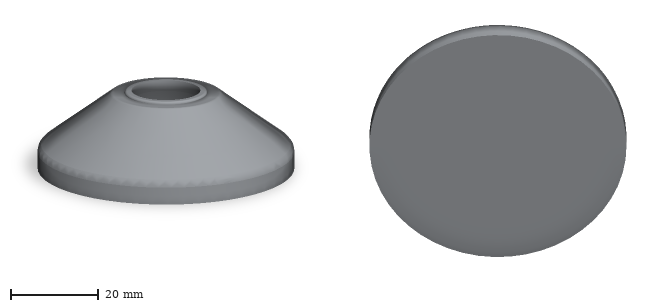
import cadquery as cq
import math

base_radius = 29.5
total_height = 18.6

flank_bottom_height = 5.1
flank_top_radius = 12.5
shoulder_round = 2.05
top_edge_round = 0.9

collar_radius = 9.5
collar_height = 0.6
plateau_height = total_height - collar_height

socket_radius = 7.9
bore_depth = 2.5


def make_body():
    """Disc with a conical flank, rounded at both ends of the cone."""
    profile = (
        cq.Workplane("XZ")
        .lineTo(base_radius, 0)
        .lineTo(base_radius, flank_bottom_height)
        .lineTo(flank_top_radius, plateau_height)
        .lineTo(0, plateau_height)
        .close()
    )
    body = profile.revolve(360, (0, 0, 0), (0, 1, 0))
    shoulder = cq.selectors.NearestToPointSelector((0, 0, flank_bottom_height))
    body = body.edges(shoulder).fillet(shoulder_round)
    return body.faces(">Z").edges().fillet(top_edge_round)


def make_collar():
    """Low disc on the plateau whose outer edge is a full-height quarter round."""
    flat_radius = collar_radius - collar_height
    arc_offset = collar_height * math.sqrt(0.5)
    profile = (
        cq.Workplane("XZ")
        .moveTo(0, plateau_height)
        .lineTo(collar_radius, plateau_height)
        .threePointArc(
            (flat_radius + arc_offset, plateau_height + arc_offset),
            (flat_radius, total_height),
        )
        .lineTo(0, total_height)
        .close()
    )
    return profile.revolve(360, (0, 0, 0), (0, 1, 0))


def make_socket():
    """Round-bottomed volume removed from the top."""
    ball_center_height = total_height - bore_depth
    bore = cq.Workplane("XY", origin=(0, 0, ball_center_height)).circle(socket_radius).extrude(bore_depth)
    ball = cq.Workplane("XY", origin=(0, 0, ball_center_height)).sphere(socket_radius)
    lower_half = cq.Workplane("XY").circle(base_radius).extrude(ball_center_height)
    return bore.union(ball.intersect(lower_half))


result = make_body().union(make_collar()).cut(make_socket())